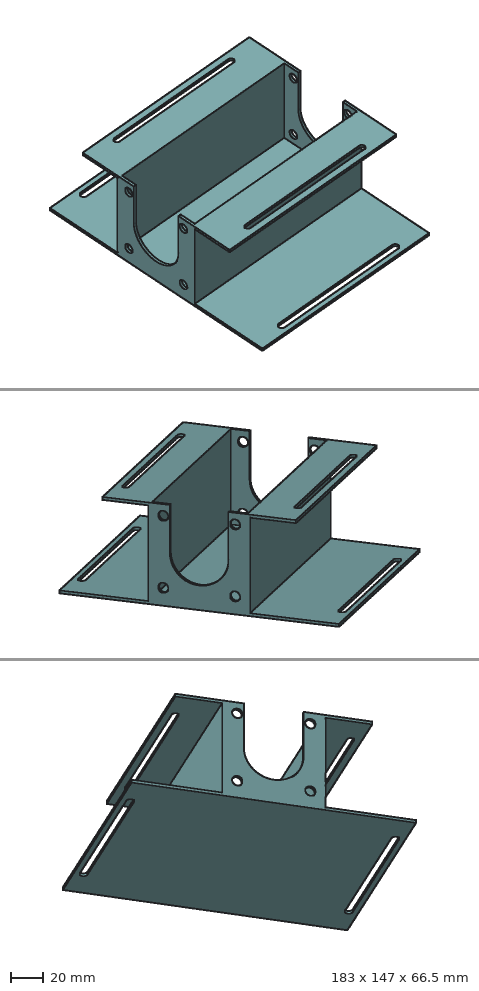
import cadquery as cq

base_width = 183.0
length = 147.0
height = 66.5
sheet = 2.0

box_width = 66.6
upper_width = 126.6
floor = 2 * sheet

opening_width = 38.5
opening_center_z = 35.3
hole_diameter = 6.5
hole_pitch = 47.0

slot_length = 104.9
base_slot_width = 5.0
base_slot_pitch = 170.5
upper_slot_width = 4.4
upper_slot_pitch = 112.7


def plate(width, depth, thickness, bottom_z):
    """Block centred on the Z axis, standing on the given level."""
    return (
        cq.Workplane("XY", origin=(0, 0, bottom_z))
        .box(width, depth, thickness, centered=(True, True, False))
    )


def flange_slots(pitch, width, bottom_z):
    """Pair of slots running along Y through one flange level."""
    return (
        cq.Workplane("XY", origin=(0, 0, bottom_z))
        .pushPoints([(-pitch / 2, 0), (pitch / 2, 0)])
        .slot2D(slot_length, width, 90)
        .extrude(sheet)
    )


def end_wall_cuts():
    """U-shaped opening and four screw holes passing through both end walls."""
    front = cq.Workplane("XZ", origin=(0, 0, opening_center_z))
    radius = opening_width / 2
    top = height - opening_center_z
    opening = (
        front.moveTo(-radius, top)
        .lineTo(-radius, 0)
        .threePointArc((0, -radius), (radius, 0))
        .lineTo(radius, top)
        .close()
        .extrude(length / 2, both=True)
    )
    holes = (
        front.rect(hole_pitch, hole_pitch, forConstruction=True)
        .vertices()
        .circle(hole_diameter / 2)
        .extrude(length / 2, both=True)
    )
    return opening.union(holes)


upper_z = height - sheet
body = (
    plate(base_width, length, sheet, 0)
    .union(plate(box_width, length, height, 0))
    .union(plate(upper_width, length, sheet, upper_z))
)

cavity = plate(box_width - 2 * sheet, length - 2 * sheet, height - floor, floor)

result = (
    body.cut(cavity)
    .cut(end_wall_cuts())
    .cut(flange_slots(base_slot_pitch, base_slot_width, 0))
    .cut(flange_slots(upper_slot_pitch, upper_slot_width, upper_z))
)